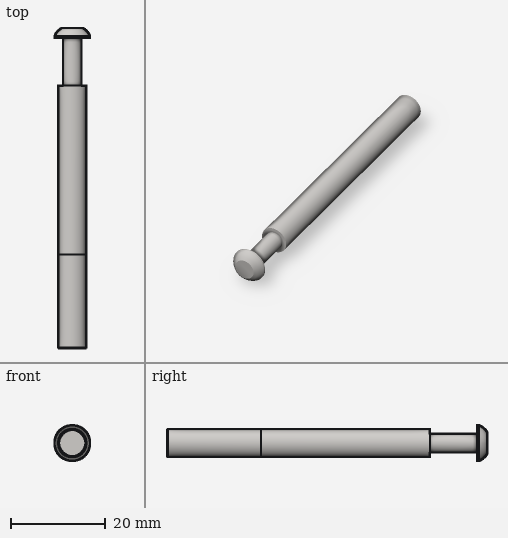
import cadquery as cq

total_length = 67.8

head_diameter = 7.6
head_height = 2.2
head_rim_height = 0.4
head_flat_diameter = 4.5
dome_bulge = 0.15
shank_diameter = 4.0
shank_length = 10.05

rod_diameter = 6.0
tip_length = 19.85
tip_chamfer = 0.2

tip_end = -total_length / 2
sleeve_start = tip_end + tip_length
head_top = total_length / 2
head_underside = head_top - head_height
sleeve_end = head_underside - shank_length


def cylinder_along_y(diameter, start, end):
    """Cylinder on the Y axis, from start to end."""
    base = cq.Workplane("XZ", origin=(0, start, 0))
    return base.circle(diameter / 2).extrude(start - end)


def make_screw():
    """Shank and domed head; the shank butts against the sleeve."""
    rim_radius = head_diameter / 2
    flat_radius = head_flat_diameter / 2
    rim_top = head_underside + head_rim_height
    dome_middle = (
        (rim_radius + flat_radius) / 2 + dome_bulge,
        (rim_top + head_top) / 2 + dome_bulge,
    )
    profile = (
        cq.Workplane("XY")
        .moveTo(0, sleeve_end)
        .lineTo(shank_diameter / 2, sleeve_end)
        .lineTo(shank_diameter / 2, head_underside)
        .lineTo(rim_radius, head_underside)
        .lineTo(rim_radius, rim_top)
        .threePointArc(dome_middle, (flat_radius, head_top))
        .lineTo(0, head_top)
        .close()
    )
    return profile.revolve(360, (0, 0, 0), (0, 1, 0))


def make_sleeve():
    """Long plain rod section between the screw and the tip."""
    return cylinder_along_y(rod_diameter, sleeve_start, sleeve_end)


def make_tip():
    """End section with its outer edge chamfered."""
    tip = cylinder_along_y(rod_diameter, tip_end, sleeve_start)
    return tip.faces("<Y").edges().chamfer(tip_chamfer)


screw = make_screw()
sleeve = make_sleeve()
tip = make_tip()

result = cq.Compound.makeCompound([screw.val(), sleeve.val(), tip.val()])